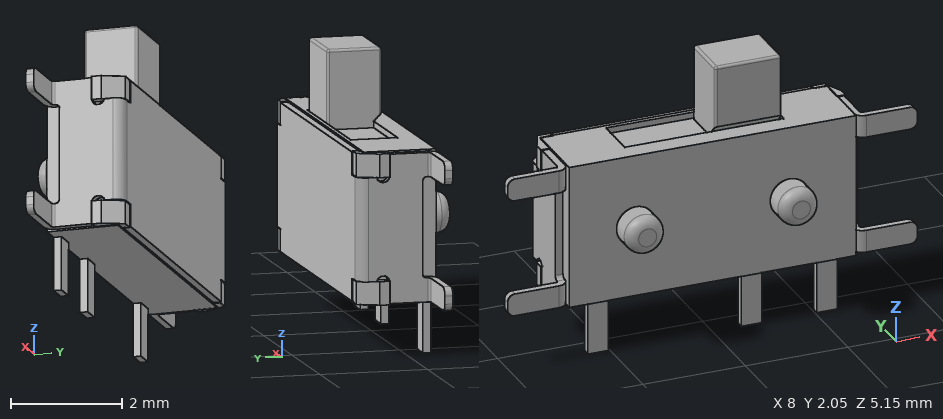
import cadquery as cq
import math


total_length = 8.0
total_depth = 2.05
total_height = 5.15

housing_width = 5.6
housing_height = 2.8
housing_depth = 1.35
half_width = housing_width / 2
half_height = housing_height / 2

slot_length = 3.1
slot_front = 0.39
slot_back = 1.26
slot_depth = 0.12

sheet = 0.15
back_face = housing_depth + sheet

peg_spacing = 3.0
peg_diameter = 0.75
peg_length = total_depth - back_face
peg_round = 0.2

ear_inner_x = 2.54
ear_outer_x = 2.98
ear_front = 0.9
ear_step = 0.02
ear_back = back_face - ear_step
ear_slope_start = 1.1
ear_bottom = 0.95
ear_top = half_height - ear_step

cover_half_height = 1.37
bend_inner = 0.05
bend_outer = bend_inner + sheet
cover_side = half_width + sheet
foot_tip = total_length / 2
foot_height = 0.44
foot_tip_round = 0.14
foot_gap = 2 * (cover_half_height - foot_height)
side_edge = 0.29
side_edge_round = 0.08
relief_radius = 0.12
relief_depth = 0.1

terminal_width = 0.4
terminal_length = 1.0
terminal_positions = (-2.23, 0.76, 2.23)

knob_left = 0.14
knob_width = 1.3
knob_front = 0.24
knob_top = total_height - terminal_length - half_height
knob_edge = 0.05


def box(x_range, y_range, z_range):
    """Axis-aligned box between the given limits."""
    size = [high - low for low, high in (x_range, y_range, z_range)]
    corner = (x_range[0], y_range[0], z_range[0])
    return cq.Workplane("XY").box(*size, centered=False).translate(corner)


def all_corners(upper_right):
    """The upper right shape with its mirror images at the other three corners."""
    upper_pair = [upper_right, upper_right.mirror("YZ")]
    return upper_pair + [shape.mirror("XY") for shape in upper_pair]


def make_ear():
    """Upper right corner ear: an L around the housing corner, sloped on the outside."""
    outline = [
        (ear_inner_x, housing_depth),
        (ear_inner_x, ear_back),
        (half_width, ear_back),
        (ear_outer_x, ear_slope_start),
        (ear_outer_x, ear_front),
        (half_width, ear_front),
        (half_width, housing_depth),
    ]
    ear = cq.Workplane("XY").workplane(offset=ear_bottom).polyline(outline).close()
    return ear.extrude(ear_top - ear_bottom)


def make_housing():
    """Plastic block with a travel slot, two locating pegs and four corner ears."""
    block = box((-half_width, half_width), (0, housing_depth), (-half_height, half_height))
    slot = box(
        (-slot_length / 2, slot_length / 2),
        (slot_front, slot_back),
        (half_height - slot_depth, half_height),
    )
    block = block.cut(slot)
    pegs = (
        cq.Workplane("XZ")
        .pushPoints([(-peg_spacing / 2, 0), (peg_spacing / 2, 0)])
        .circle(peg_diameter / 2)
        .extrude(peg_length)
        .faces("<Y").edges().fillet(peg_round)
    )
    block = block.union(pegs)
    for ear in all_corners(make_ear()):
        block = block.union(ear)
    return block


def make_cover_half():
    """Right half of the bent sheet: back plate, side plate and out-turned foot."""
    diagonal = math.sqrt(0.5)
    foot_bend_x = half_width + bend_outer
    back_bend_x = cover_side - bend_outer
    back_bend_y = back_face - bend_outer
    half = (
        cq.Workplane("XY")
        .workplane(offset=-cover_half_height)
        .moveTo(0, housing_depth)
        .lineTo(half_width, housing_depth)
        .lineTo(half_width, bend_outer)
        .threePointArc(
            (foot_bend_x - bend_outer * diagonal, bend_outer - bend_outer * diagonal),
            (foot_bend_x, 0),
        )
        .lineTo(foot_tip, 0)
        .lineTo(foot_tip, sheet)
        .lineTo(foot_bend_x, sheet)
        .threePointArc(
            (foot_bend_x - bend_inner * diagonal, bend_outer - bend_inner * diagonal),
            (cover_side, bend_outer),
        )
        .lineTo(cover_side, back_bend_y)
        .threePointArc(
            (back_bend_x + bend_outer * diagonal, back_bend_y + bend_outer * diagonal),
            (back_bend_x, back_face),
        )
        .lineTo(0, back_face)
        .close()
        .extrude(2 * cover_half_height)
    )
    gap = box((half_width, foot_tip), (0, side_edge), (-foot_gap / 2, foot_gap / 2))
    gap = gap.edges("|X and >Y").fillet(side_edge_round)
    return half.cut(gap).faces(">X").edges("|Y").fillet(foot_tip_round)


def make_ear_notch():
    """Upper right cover notch: room for an ear, with a round relief at its front end."""
    back_notch = box((ear_inner_x, cover_side), (housing_depth, back_face), (ear_bottom, half_height))
    side_notch = box((half_width, cover_side), (ear_front, back_face), (ear_bottom, half_height))
    relief = (
        cq.Workplane("YZ")
        .workplane(offset=half_width)
        .center(ear_front + relief_radius, ear_bottom - relief_depth + relief_radius)
        .circle(relief_radius)
        .extrude(sheet)
    )
    return back_notch.union(side_notch).union(relief)


def make_cover():
    """Sheet metal cover around the back and ends of the housing, standing on four feet."""
    right_half = make_cover_half()
    cover = right_half.union(right_half.mirror("YZ"))
    for notch in all_corners(make_ear_notch()):
        cover = cover.cut(notch)
    return cover


def make_slider():
    """Knob standing on the slot floor, sloped back under its front to fit the slot."""
    overhang = slot_front - knob_front
    side_profile = [
        (slot_back, half_height - slot_depth),
        (slot_back, knob_top),
        (knob_front, knob_top),
        (knob_front, half_height + overhang),
        (slot_front, half_height),
        (slot_front, half_height - slot_depth),
    ]
    knob = cq.Workplane("YZ").workplane(offset=knob_left).polyline(side_profile).close()
    knob = knob.extrude(knob_width)
    front_edges = knob.faces("<Y").edges("|Z")
    back_edges = knob.faces(">Y").edges("|Z")
    top_edges = knob.faces(">Z").edges()
    return knob.newObject(front_edges.vals() + back_edges.vals() + top_edges.vals()).fillet(knob_edge)


def make_terminal(x):
    """Flat terminal hanging from the underside of the housing, flush with its front."""
    return box(
        (x - terminal_width / 2, x + terminal_width / 2),
        (0, sheet),
        (-half_height - terminal_length, -half_height),
    )


housing = make_housing()
cover = make_cover()
slider = make_slider()
terminals = [make_terminal(x) for x in terminal_positions]

result = cq.Compound.makeCompound(
    [housing.val(), cover.val(), slider.val(), *[terminal.val() for terminal in terminals]]
)